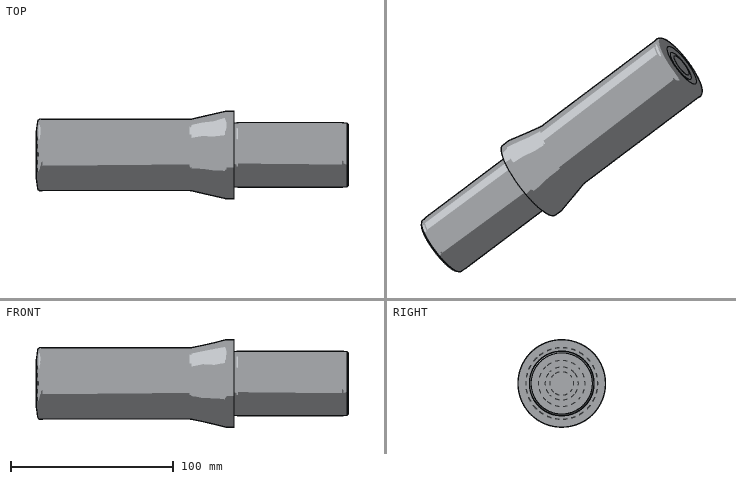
import cadquery as cq

total_length = 192.0

nose_radius = 22.5
barrel_radius = 44.0 / 2
relief_end_x = 4.0
flange_radius = 54.0 / 2
flange_back_x = 121.7
flange_width = 5.0
taper_start_x = 95.0
taper_blend_radius = 5.0
flange_blend_radius = 2.9

nose_corner_radius = 2.0
nose_ridge_radius = 14.2
valley_radius = 10.2
inner_ridge_radius = 7.3
nose_slope_depth = 1.2
valley_depth = 0.8
inner_ridge_depth = 0.2
center_depth = 1.5

shank_radius = 40.0 / 2
land_radius = 39.5 / 2
front_land_length = 1.5
rear_land_length = 2.9
land_taper_length = 1.0
end_chamfer = 1.0


def revolve_about_x(profile):
    """Turn a closed (x, radius) profile around the X axis."""
    return profile.close().revolve(360, (0, 0, 0), (1, 0, 0))


def round_rim(body, x, radius, fillet_radius):
    """Fillet the circular edge that is centred at x and has the given radius."""
    tolerance = 0.1
    selector = cq.selectors.BoxSelector(
        (x - tolerance, -radius - tolerance, -radius - tolerance),
        (x + tolerance, radius + tolerance, radius + tolerance),
        boundingbox=True,
    )
    return body.edges(selector).fillet(fillet_radius)


def make_head():
    flange_front_x = flange_back_x - flange_width
    profile = (
        cq.Workplane("XY")
        .moveTo(center_depth, 0)
        .lineTo(inner_ridge_depth, inner_ridge_radius)
        .lineTo(valley_depth, valley_radius)
        .lineTo(0, nose_ridge_radius)
        .lineTo(nose_slope_depth, nose_radius)
        .lineTo(relief_end_x, barrel_radius)
        .lineTo(taper_start_x, barrel_radius)
        .lineTo(flange_front_x, flange_radius)
        .lineTo(flange_back_x, flange_radius)
        .lineTo(flange_back_x, 0)
    )
    head = revolve_about_x(profile)
    head = round_rim(head, nose_slope_depth, nose_radius, nose_corner_radius)
    head = round_rim(head, taper_start_x, barrel_radius, taper_blend_radius)
    return round_rim(head, flange_front_x, flange_radius, flange_blend_radius)


def make_shank():
    front_land_end = flange_back_x + front_land_length
    rear_land_start = total_length - rear_land_length
    profile = (
        cq.Workplane("XY")
        .moveTo(flange_back_x, 0)
        .lineTo(flange_back_x, land_radius)
        .lineTo(front_land_end, land_radius)
        .lineTo(front_land_end + land_taper_length, shank_radius)
        .lineTo(rear_land_start - land_taper_length, shank_radius)
        .lineTo(rear_land_start, land_radius)
        .lineTo(total_length - end_chamfer, land_radius)
        .lineTo(total_length, land_radius - end_chamfer)
        .lineTo(total_length, 0)
    )
    return revolve_about_x(profile)


head = make_head()
shank = make_shank()

result = cq.Compound.makeCompound([head.val(), shank.val()])